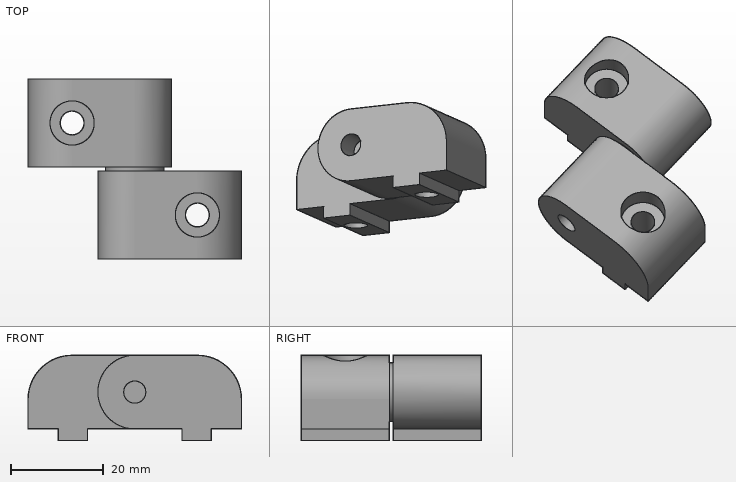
import cadquery as cq

INCH = 25.4

barrel_radius = 5 / 16 * INCH
leaf_width = 0.75 * INCH
screw_offset = 0.531 * INCH
shoulder_radius = 0.375 * INCH
leaf_reach = screw_offset + shoulder_radius

key_offset = 0.525 * INCH
key_width = 0.25 * INCH
key_height = 0.1 * INCH

screw_hole_diameter = 0.2 * INCH
counterbore_diameter = 0.375 * INCH
counterbore_depth = 3 / 16 * INCH

pin_diameter = 3 / 16 * INCH
pin_recess = 0.25 * INCH
washer_diameter = 0.5 * INCH
washer_thickness = 0.03 * INCH
pin_length = 2 * (leaf_width - pin_recess) + washer_thickness

inner_face_y = -washer_thickness / 2


def y_cylinder(diameter, length, y_end):
    """Cylinder on the pivot axis, running from y_end toward -Y."""
    return cq.Workplane("XZ", origin=(0, y_end, 0)).circle(diameter / 2).extrude(length)


def make_leaf():
    """Leaf on the -Y side of the washer, reaching toward +X."""
    body = (
        cq.Workplane("XZ", origin=(0, inner_face_y, 0))
        .moveTo(0, barrel_radius)
        .threePointArc((-barrel_radius, 0), (0, -barrel_radius))
        .lineTo(key_offset - key_width / 2, -barrel_radius)
        .lineTo(key_offset - key_width / 2, -barrel_radius - key_height)
        .lineTo(key_offset + key_width / 2, -barrel_radius - key_height)
        .lineTo(key_offset + key_width / 2, -barrel_radius)
        .lineTo(leaf_reach, -barrel_radius)
        .lineTo(leaf_reach, barrel_radius - shoulder_radius)
        .tangentArcPoint((screw_offset, barrel_radius), relative=False)
        .close()
        .extrude(leaf_width)
    )
    pin_hole = y_cylinder(pin_diameter, leaf_width, inner_face_y)
    screw_hole = (
        cq.Workplane("XY", origin=(screw_offset, inner_face_y - leaf_width / 2, barrel_radius))
        .circle(screw_hole_diameter / 2)
        .extrude(-(2 * barrel_radius + key_height))
    )
    counterbore = (
        cq.Workplane("XY", origin=(screw_offset, inner_face_y - leaf_width / 2, barrel_radius))
        .circle(counterbore_diameter / 2)
        .extrude(-counterbore_depth)
    )
    return body.cut(pin_hole).cut(screw_hole).cut(counterbore)


def make_washer():
    """Spacer ring between the two leaves."""
    disc = y_cylinder(washer_diameter, washer_thickness, washer_thickness / 2)
    bore = y_cylinder(pin_diameter, washer_thickness, washer_thickness / 2)
    return disc.cut(bore)


def make_pin():
    """Pivot pin through the washer, ending inside both leaves."""
    return y_cylinder(pin_diameter, pin_length, pin_length / 2)


leaves = [
    make_leaf().rotate((0, 0, 0), (0, 0, 1), angle).val()
    for angle in (0, 180)
]
washer = make_washer()
pin = make_pin()

result = cq.Compound.makeCompound([*leaves, washer.val(), pin.val()])